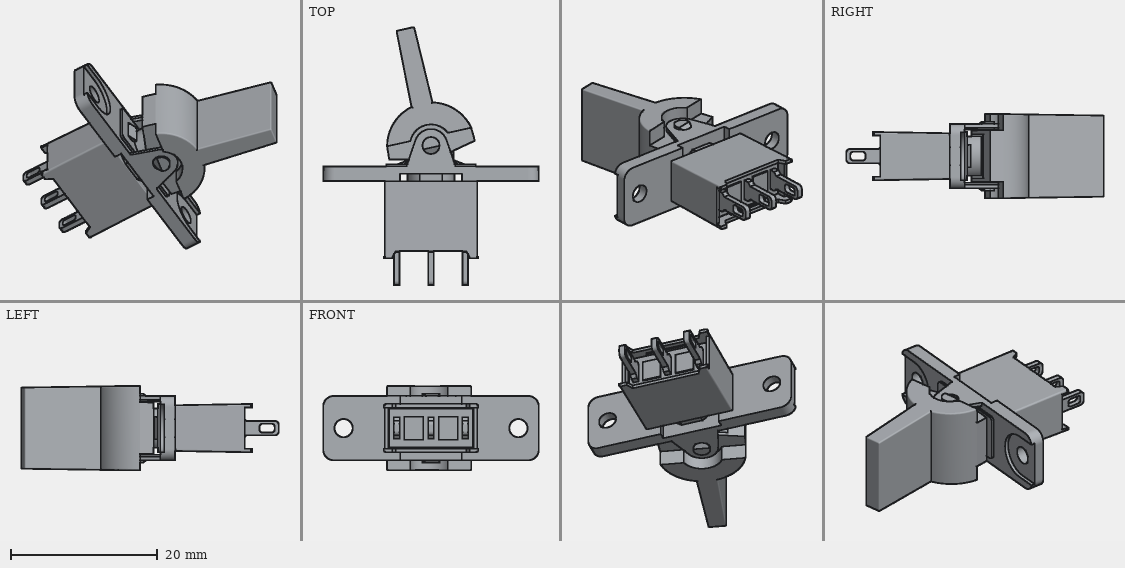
import cadquery as cq
import math


PLATE_LENGTH = 29.4
PLATE_WIDTH = 8.8
PLATE_THICKNESS = 2.0
PLATE_CORNER_RADIUS = 1.5
PLATE_BACK_Y = -2.85
PLATE_FRONT_Y = PLATE_BACK_Y - PLATE_THICKNESS
MOUNT_HOLE_DIAMETER = 2.45
MOUNT_HOLE_X = 11.9
SEAT_HALF_WIDTH = 3.25
SEAT_DEPTH = 0.54
CHANNEL_WIDTH = 8.4
CHANNEL_DEPTH = 1.0
EAR_RADIUS = 2.24
EAR_BASE_HALF_WIDTH = 3.35
EAR_INNER_Z = 3.6
EAR_OUTER_Z = PLATE_WIDTH / 2
EAR_CHAMFER = 0.27

BUSHING_RADIUS = 3.1
BUSHING_FLAT_Z = 2.69
BUSHING_TOP_Y = -0.6
COLLAR_RADIUS = 3.2
COLLAR_FLAT_Z = 2.82

WASHER_LENGTH = 12.25
WASHER_WIDTH = 6.6
WASHER_THICKNESS = 0.32
WASHER_CORNER_RADIUS = 0.6
WASHER_TOP_Y = PLATE_BACK_Y + WASHER_THICKNESS
TAB_WIDTH = 3.05
TAB_ANGLE = 21.0
TAB_ROOT_X = 4.5
TAB_TIP_X = 3.15

LEVER_TILT = 12.45
DOME_TOP_Y = 5.88
DOME_FOOT_X = 5.98
DOME_FOOT_Y = -0.66
STEP_X = 5.88
STEP_Y = 1.19
STEP_HALF_WIDTH = 5.75
CORE_HALF_WIDTH = 3.5
EAR_RECESS_RADIUS = 2.87
HANDLE_BASE_Y = 5.0
HANDLE_TIP_Y = 16.26
HANDLE_BASE_HALF_THICKNESS = 1.49
HANDLE_TIP_HALF_THICKNESS = 1.24
HANDLE_TIP_HALF_WIDTH = 5.54
LEVER_EDGE_RADIUS = 0.2
CAVITY_HALF_LENGTH = 3.7
CAVITY_HALF_WIDTH = 3.0
CAVITY_TOP_Y = 0.4
PIN_RADIUS = 1.16
PIN_END_Z = 4.7
PIN_BEVEL_START = 0.28
PIN_BEVEL_ANGLE = 36.0

CASE_TOP_HALF_LENGTH = 6.3
CASE_TOP_HALF_WIDTH = 3.13
CASE_END_HALF_LENGTH = 6.32
CASE_END_HALF_WIDTH = 3.31
CASE_CORNER_RADIUS = 0.24
CASE_TOP_EDGE_RADIUS = 0.1
CASE_END_Y = -15.35
CASE_RIM_Y = -14.37
CASE_ROOF_THICKNESS = 0.5
CASE_INNER_HALF_LENGTH = 5.85
CASE_INNER_HALF_WIDTH = 2.8
LEG_INNER_X = 5.3
LEG_ROOT_X = 4.77
TOE_HALF_LENGTH = 6.42
TOE_HALF_WIDTH = 3.25
TOE_HEIGHT = 0.18

BASE_FACE_Y = -13.3
BASE_CHAMFER = 0.18
PAD_LENGTH = 2.58
PAD_WIDTH = 3.1
PAD_X = 2.37
PAD_HEIGHT = 0.2
LIP_LENGTH = 6.14
LIP_HEIGHT = 0.4

TERMINAL_PITCH = 4.67
TERMINAL_THICKNESS = 0.8
TERMINAL_HALF_WIDTH = 1.0
TERMINAL_ROOT_HALF_WIDTH = 1.46
TERMINAL_SHOULDER_Y = -14.1
TERMINAL_TIP_Y = -19.0
TERMINAL_TIP_RADIUS = 0.6
EYE_START_Y = -16.37
EYE_END_Y = -18.4
EYE_WIDTH = 1.18
EYE_CORNER_RADIUS = 0.4


def block(x_min, x_max, y_min, y_max, z_min, z_max):
    """Axis-aligned block between the given limits."""
    size = (x_max - x_min, y_max - y_min, z_max - z_min)
    return cq.Workplane("XY").box(*size, centered=False).translate((x_min, y_min, z_min))


def centred_block(half_length, y_min, y_max, half_width):
    """Block that is symmetric in X and Z."""
    return block(-half_length, half_length, y_min, y_max, -half_width, half_width)


def section_at(y):
    """Workplane across the Y axis, extruding towards -Y, with local axes X and Z."""
    return cq.Workplane("XZ", origin=(0, y, 0))


def flatted_bar(radius, flat_z, y_top, y_bottom):
    """Round bar along Y with a flat on its +Z and -Z sides."""
    round_bar = section_at(y_top).circle(radius).extrude(y_top - y_bottom)
    return round_bar.intersect(centred_block(radius, y_bottom, y_top, flat_z))


def tapered_bar(y_start, start_half_x, start_half_z, y_end, end_half_x, end_half_z):
    """Rectangular bar along Y whose section changes from start to end."""
    start = section_at(y_start).rect(2 * start_half_x, 2 * start_half_z)
    end = start.workplane(offset=y_start - y_end).rect(2 * end_half_x, 2 * end_half_z)
    return end.loft(combine=True)


def make_ear():
    """Pivot ear on the +Z side, rounded about the pivot with straight tangent flanks."""
    base_distance = math.hypot(EAR_BASE_HALF_WIDTH, PLATE_BACK_Y)
    base_direction = math.atan2(PLATE_BACK_Y, EAR_BASE_HALF_WIDTH)
    tangent_angle = base_direction + math.acos(EAR_RADIUS / base_distance)
    tangent_x = EAR_RADIUS * math.cos(tangent_angle)
    tangent_y = EAR_RADIUS * math.sin(tangent_angle)
    ear = (
        cq.Workplane("XY", origin=(0, 0, EAR_INNER_Z))
        .moveTo(-EAR_BASE_HALF_WIDTH, PLATE_BACK_Y)
        .lineTo(-tangent_x, tangent_y)
        .threePointArc((0, EAR_RADIUS), (tangent_x, tangent_y))
        .lineTo(EAR_BASE_HALF_WIDTH, PLATE_BACK_Y)
        .close()
        .extrude(EAR_OUTER_Z - EAR_INNER_Z)
    )
    ear = ear.faces("<Z").edges("not <Y").chamfer(EAR_CHAMFER)
    pivot_hole = cq.Workplane("XY").circle(PIN_RADIUS).extrude(EAR_OUTER_Z)
    return ear.cut(pivot_hole)


def make_bezel():
    """Mounting plate with ears, bushing hole, front channel and open-ended screw seats."""
    plate = section_at(PLATE_BACK_Y).rect(PLATE_LENGTH, PLATE_WIDTH).extrude(PLATE_THICKNESS)
    plate = plate.edges("|Y").fillet(PLATE_CORNER_RADIUS)
    channel_top_y = PLATE_FRONT_Y + CHANNEL_DEPTH
    plate = plate.cut(centred_block(CHANNEL_WIDTH / 2, PLATE_FRONT_Y, channel_top_y, PLATE_WIDTH))
    plate = plate.cut(flatted_bar(COLLAR_RADIUS, COLLAR_FLAT_Z, PLATE_BACK_Y, PLATE_FRONT_Y))
    seat_reach = PLATE_LENGTH / 2 - MOUNT_HOLE_X
    for side in (-1, 1):
        hole_centre = section_at(PLATE_BACK_Y).center(side * MOUNT_HOLE_X, 0)
        hole = hole_centre.circle(MOUNT_HOLE_DIAMETER / 2).extrude(PLATE_THICKNESS)
        seat_round = hole_centre.circle(SEAT_HALF_WIDTH).extrude(SEAT_DEPTH)
        seat_mouth = (
            hole_centre.center(side * seat_reach / 2, 0)
            .rect(seat_reach, 2 * SEAT_HALF_WIDTH)
            .extrude(SEAT_DEPTH)
        )
        plate = plate.cut(hole).cut(seat_round).cut(seat_mouth)
    ear = make_ear()
    return plate.union(ear).union(ear.mirror("XY"))


def make_bushing():
    """Flatted bushing standing on the case, with its collar filling the plate hole."""
    collar = flatted_bar(COLLAR_RADIUS, COLLAR_FLAT_Z, PLATE_BACK_Y, PLATE_FRONT_Y)
    neck = flatted_bar(BUSHING_RADIUS, BUSHING_FLAT_Z, BUSHING_TOP_Y, PLATE_BACK_Y)
    return collar.union(neck)


def make_spring_washer():
    """Flat sheet around the bushing with a tab rising towards it on each side."""
    washer = section_at(WASHER_TOP_Y).rect(WASHER_LENGTH, WASHER_WIDTH).extrude(WASHER_THICKNESS)
    washer = washer.edges("|Y").fillet(WASHER_CORNER_RADIUS)
    washer = washer.cut(flatted_bar(BUSHING_RADIUS, BUSHING_FLAT_Z, WASHER_TOP_Y, PLATE_BACK_Y))
    slope = math.tan(math.radians(TAB_ANGLE))
    tab_drop = WASHER_THICKNESS / math.cos(math.radians(TAB_ANGLE))
    tip_top_y = WASHER_TOP_Y + (TAB_ROOT_X - TAB_TIP_X) * slope
    under_root_x = TAB_ROOT_X - tab_drop / slope
    tab = (
        cq.Workplane("XY")
        .moveTo(TAB_ROOT_X, WASHER_TOP_Y)
        .lineTo(TAB_TIP_X, tip_top_y)
        .lineTo(TAB_TIP_X, tip_top_y - tab_drop)
        .lineTo(under_root_x, WASHER_TOP_Y)
        .lineTo(under_root_x, PLATE_BACK_Y)
        .lineTo(TAB_ROOT_X, PLATE_BACK_Y)
        .close()
        .extrude(TAB_WIDTH / 2, both=True)
    )
    return washer.union(tab).union(tab.mirror("YZ"))


def dome_core():
    """Narrow middle of the rocker, fitting between the ears."""
    keel_y = DOME_FOOT_Y - DOME_FOOT_X * math.tan(math.radians(LEVER_TILT))
    return (
        cq.Workplane("XY")
        .moveTo(-DOME_FOOT_X, DOME_FOOT_Y)
        .lineTo(-STEP_X, STEP_Y)
        .threePointArc((0, DOME_TOP_Y), (STEP_X, STEP_Y))
        .lineTo(DOME_FOOT_X, DOME_FOOT_Y)
        .lineTo(0, keel_y)
        .close()
        .extrude(CORE_HALF_WIDTH, both=True)
    )


def full_width_part():
    """Upper dome and paddle handle between two drafted sides, hollowed around the ears."""
    dome = (
        cq.Workplane("XY")
        .moveTo(-STEP_X, STEP_Y)
        .threePointArc((0, DOME_TOP_Y), (STEP_X, STEP_Y))
        .close()
        .extrude(STEP_HALF_WIDTH, both=True)
    )
    handle = (
        cq.Workplane("XY")
        .moveTo(-HANDLE_BASE_HALF_THICKNESS, HANDLE_BASE_Y)
        .lineTo(-HANDLE_TIP_HALF_THICKNESS, HANDLE_TIP_Y)
        .lineTo(HANDLE_TIP_HALF_THICKNESS, HANDLE_TIP_Y)
        .lineTo(HANDLE_BASE_HALF_THICKNESS, HANDLE_BASE_Y)
        .close()
        .extrude(STEP_HALF_WIDTH, both=True)
    )
    handle = handle.faces(">Y").edges("|Z").fillet(LEVER_EDGE_RADIUS)
    drafted_sides = (
        cq.Workplane("YZ")
        .moveTo(STEP_Y, -STEP_HALF_WIDTH)
        .lineTo(HANDLE_TIP_Y, -HANDLE_TIP_HALF_WIDTH)
        .lineTo(HANDLE_TIP_Y, HANDLE_TIP_HALF_WIDTH)
        .lineTo(STEP_Y, STEP_HALF_WIDTH)
        .close()
        .extrude(DOME_FOOT_X, both=True)
    )
    body = dome.union(handle).intersect(drafted_sides)
    body = body.faces("<Z or >Z").edges("not <Y").fillet(LEVER_EDGE_RADIUS)
    recess = cq.Workplane("XY").circle(EAR_RECESS_RADIUS).extrude(STEP_HALF_WIDTH, both=True)
    return body.cut(recess)


def pivot_pin():
    """Pivot pin on the +Z side; the lower half of its end is bevelled."""
    pin_start_z = CAVITY_HALF_WIDTH
    pin = cq.Workplane("XY", origin=(0, 0, pin_start_z)).circle(PIN_RADIUS)
    pin = pin.extrude(PIN_END_Z - pin_start_z)
    bevel_drop = (PIN_RADIUS - PIN_BEVEL_START) * math.tan(math.radians(PIN_BEVEL_ANGLE))
    bevel = (
        cq.Workplane("YZ")
        .moveTo(-PIN_BEVEL_START, PIN_END_Z)
        .lineTo(-PIN_RADIUS, PIN_END_Z - bevel_drop)
        .lineTo(-PIN_RADIUS, PIN_END_Z)
        .close()
        .extrude(PIN_RADIUS, both=True)
    )
    return pin.cut(bevel)


def make_lever():
    """Rocker lever with handle, bushing cavity and two pivot pins."""
    lever = dome_core().union(full_width_part())
    cavity = centred_block(CAVITY_HALF_LENGTH, -DOME_FOOT_X, CAVITY_TOP_Y, CAVITY_HALF_WIDTH)
    lever = lever.cut(cavity)
    pin = pivot_pin()
    lever = lever.union(pin).union(pin.mirror("XY"))
    return lever.rotate((0, 0, 0), (0, 0, 1), LEVER_TILT)


def make_case():
    """Drawn metal case with a closed roof and four corner legs ending in small toes."""
    case = tapered_bar(
        PLATE_FRONT_Y,
        CASE_TOP_HALF_LENGTH,
        CASE_TOP_HALF_WIDTH,
        CASE_END_Y,
        CASE_END_HALF_LENGTH,
        CASE_END_HALF_WIDTH,
    )
    case = case.edges("not (<Y or >Y)").fillet(CASE_CORNER_RADIUS)
    case = case.faces(">Y").edges().fillet(CASE_TOP_EDGE_RADIUS)
    toe_top_y = CASE_END_Y + TOE_HEIGHT
    toes = centred_block(TOE_HALF_LENGTH, CASE_END_Y, toe_top_y, TOE_HALF_WIDTH)
    case = case.union(toes.edges("|Y").fillet(CASE_CORNER_RADIUS))
    roof_y = PLATE_FRONT_Y - CASE_ROOF_THICKNESS
    case = case.cut(centred_block(CASE_INNER_HALF_LENGTH, CASE_END_Y, roof_y, CASE_INNER_HALF_WIDTH))
    case = case.cut(centred_block(TOE_HALF_LENGTH, CASE_END_Y, CASE_RIM_Y, CASE_INNER_HALF_WIDTH))
    gap_between_legs = (
        cq.Workplane("XY")
        .moveTo(-LEG_INNER_X, CASE_END_Y)
        .lineTo(-LEG_ROOT_X, CASE_RIM_Y)
        .lineTo(LEG_ROOT_X, CASE_RIM_Y)
        .lineTo(LEG_INNER_X, CASE_END_Y)
        .close()
        .extrude(CASE_END_HALF_WIDTH, both=True)
    )
    return case.cut(gap_between_legs)


def make_base():
    """Insulator filling the case, with two raised pads and a lip along the middle of each long edge."""
    roof_y = PLATE_FRONT_Y - CASE_ROOF_THICKNESS
    base = centred_block(CASE_INNER_HALF_LENGTH, BASE_FACE_Y, roof_y, CASE_INNER_HALF_WIDTH)
    base = base.faces("<Y").edges().chamfer(BASE_CHAMFER)
    pads = (
        section_at(BASE_FACE_Y)
        .pushPoints([(-PAD_X, 0), (PAD_X, 0)])
        .rect(PAD_LENGTH, PAD_WIDTH)
        .extrude(PAD_HEIGHT)
    )
    lip_end_y = BASE_FACE_Y - LIP_HEIGHT
    lip_inner_z = CASE_INNER_HALF_WIDTH - BASE_CHAMFER
    lip_root_y = BASE_FACE_Y + BASE_CHAMFER
    lip = block(-LIP_LENGTH / 2, LIP_LENGTH / 2, lip_end_y, lip_root_y, lip_inner_z, CASE_INNER_HALF_WIDTH)
    return base.union(pads).union(lip).union(lip.mirror("XY"))


def make_terminal(x):
    """Solder lug with a wide root, bevelled shoulders, rounded tip and an eye."""
    shoulder_end_y = TERMINAL_SHOULDER_Y - (TERMINAL_ROOT_HALF_WIDTH - TERMINAL_HALF_WIDTH)
    outline = [
        (BASE_FACE_Y, TERMINAL_ROOT_HALF_WIDTH),
        (TERMINAL_SHOULDER_Y, TERMINAL_ROOT_HALF_WIDTH),
        (shoulder_end_y, TERMINAL_HALF_WIDTH),
        (TERMINAL_TIP_Y, TERMINAL_HALF_WIDTH),
    ]
    mirrored = [(y, -z) for y, z in reversed(outline)]
    middle = cq.Workplane("YZ", origin=(x, 0, 0))
    lug = middle.polyline(outline + mirrored).close().extrude(TERMINAL_THICKNESS / 2, both=True)
    lug = lug.faces("<Y").edges("|X").fillet(TERMINAL_TIP_RADIUS)
    eye = (
        middle.center((EYE_START_Y + EYE_END_Y) / 2, 0)
        .rect(EYE_START_Y - EYE_END_Y, EYE_WIDTH)
        .extrude(TERMINAL_THICKNESS, both=True)
        .edges("|X")
        .fillet(EYE_CORNER_RADIUS)
    )
    return lug.cut(eye)


bezel = make_bezel()
bushing = make_bushing()
spring_washer = make_spring_washer()
lever = make_lever()
case = make_case()
base = make_base()
terminals = [make_terminal(index * TERMINAL_PITCH) for index in (-1, 0, 1)]

bodies = [bezel, bushing, spring_washer, lever, case, base] + terminals
result = cq.Compound.makeCompound([body.solids().val() for body in bodies])